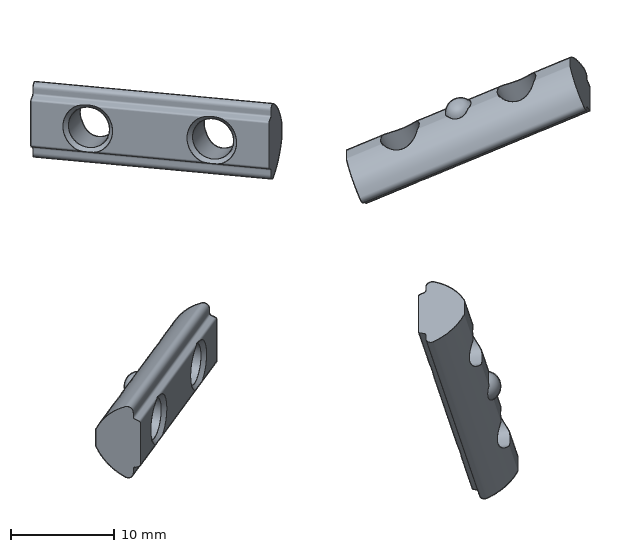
import cadquery as cq
import math

length = 24.0
height = 7.7
half_height = height / 2
back_y = 4.58
overall_depth = 5.5

wing_y = 0.75
wing_radius = 0.58
wing_blend_angle = math.radians(63)
step_foot_z = 2.66
step_edge_z = 2.4
step_fillet = 0.26

flank_mid_y = 3.15
flank_mid_z = 2.8
back_half_flat = 0.9
back_fillet = 0.2

hole_diameter = 4.13
countersink_diameter = 5.0
countersink_angle = 90
hole_spacing = 12.5
ball_radius = 1.5


def make_bar():
    """Extrude the mirrored cross-section and round its step and back edges."""
    nose_y = wing_y + wing_radius
    nose_z = half_height - wing_radius
    blend_y = nose_y + wing_radius * math.cos(wing_blend_angle)
    blend_z = nose_z + wing_radius * math.sin(wing_blend_angle)

    profile = (
        cq.Workplane("YZ", origin=(-length / 2, 0, 0))
        .moveTo(0, -step_edge_z)
        .lineTo(0, step_edge_z)
        .lineTo(wing_y, step_foot_z)
        .lineTo(wing_y, nose_z)
        .threePointArc((nose_y, half_height), (blend_y, blend_z))
        .threePointArc((flank_mid_y, flank_mid_z), (back_y, back_half_flat))
        .lineTo(back_y, -back_half_flat)
        .threePointArc((flank_mid_y, -flank_mid_z), (blend_y, -blend_z))
        .threePointArc((nose_y, -half_height), (wing_y, -nose_z))
        .lineTo(wing_y, -step_foot_z)
        .close()
    )
    bar = profile.extrude(length)

    for y, z, radius in (
        (0, step_edge_z, step_fillet),
        (wing_y, step_foot_z, step_fillet),
        (back_y, back_half_flat, back_fillet),
    ):
        for side in (-1, 1):
            edge = cq.selectors.NearestToPointSelector((0, y, side * z))
            bar = bar.edges(edge).fillet(radius)
    return bar


def add_ball(bar):
    """Seat a ball in the middle of the back flat."""
    ball = cq.Workplane("XY").sphere(ball_radius)
    return bar.union(ball.translate((0, overall_depth - ball_radius, 0)))


def cut_holes(bar):
    """Drill two through holes, countersunk from the front face."""
    return (
        bar.copyWorkplane(cq.Workplane("XZ"))
        .pushPoints([(-hole_spacing / 2, 0), (hole_spacing / 2, 0)])
        .cskHole(hole_diameter, countersink_diameter, countersink_angle)
    )


result = add_ball(cut_holes(make_bar()))